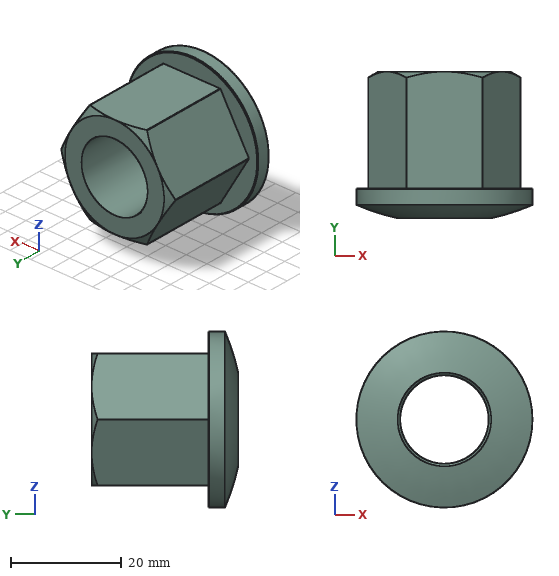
import cadquery as cq
import math

flange_diameter = 32.0
total_length = 26.6
hex_sides = 6
across_flats = 24.0
corner_diameter = 27.65
bore_diameter = 16.0
bore_mouth_diameter = 17.0
seat_radius = 40.0
flange_rim_height = 3.0
flange_back_chamfer = 0.2
hex_chamfer_angle = 30.0

flange_radius = flange_diameter / 2
mouth_radius = bore_mouth_diameter / 2
bore_radius = bore_diameter / 2

sphere_centre = math.sqrt(seat_radius**2 - mouth_radius**2)


def seat_height_at(radius):
    return sphere_centre - math.sqrt(seat_radius**2 - radius**2)


seat_height = seat_height_at(flange_radius)
flange_back = seat_height + flange_rim_height


def make_flange():
    middle_radius = (mouth_radius + flange_radius) / 2
    profile = (
        cq.Workplane("XY")
        .moveTo(0, 0)
        .lineTo(mouth_radius, 0)
        .threePointArc((middle_radius, seat_height_at(middle_radius)), (flange_radius, seat_height))
        .lineTo(flange_radius, flange_back - flange_back_chamfer)
        .lineTo(flange_radius - flange_back_chamfer, flange_back)
        .lineTo(0, flange_back)
        .close()
    )
    return profile.revolve(360, (0, 0), (0, 1))


def make_hexagon():
    half_corner_angle = 360 / hex_sides / 2
    hexagon = (
        cq.Workplane("XZ", origin=(0, seat_height, 0))
        .transformed(rotate=(0, 0, half_corner_angle))
        .polygon(hex_sides, across_flats, circumscribed=True)
        .extrude(-(total_length - seat_height))
    )
    corner_radius = corner_diameter / 2
    end_radius = across_flats / 2
    chamfer_height = (corner_radius - end_radius) * math.tan(math.radians(hex_chamfer_angle))
    envelope = (
        cq.Workplane("XY")
        .polyline([
            (0, 0),
            (corner_radius, 0),
            (corner_radius, total_length - chamfer_height),
            (end_radius, total_length),
            (0, total_length),
        ])
        .close()
        .revolve(360, (0, 0), (0, 1))
    )
    return hexagon.intersect(envelope)


def make_bore():
    mouth_depth = mouth_radius - bore_radius
    profile = (
        cq.Workplane("XY")
        .polyline([
            (0, 0),
            (mouth_radius, 0),
            (bore_radius, mouth_depth),
            (bore_radius, total_length),
            (0, total_length),
        ])
        .close()
    )
    return profile.revolve(360, (0, 0), (0, 1))


result = make_flange().union(make_hexagon()).cut(make_bore())